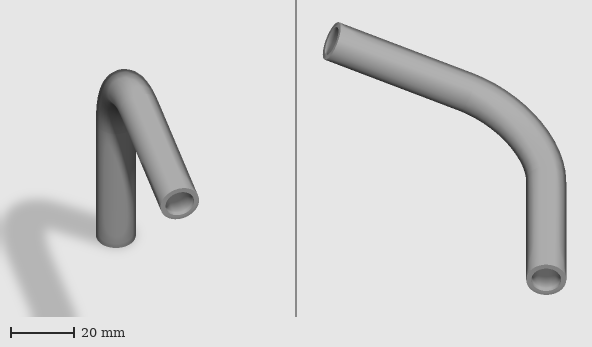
import cadquery as cq
import math

overall_size = 82.55
outer_diameter = 12.7
bore_diameter = 9.4
bend_radius = 28.6

leg_length = overall_size - outer_diameter / 2 - bend_radius


def centreline():
    """Vertical leg, quarter bend and horizontal leg, rising from the origin."""
    bend_top = leg_length + bend_radius
    mid_run = bend_radius * (1 - math.cos(math.pi / 4))
    mid_rise = leg_length + bend_radius * math.sin(math.pi / 4)
    return (
        cq.Workplane("XZ")
        .lineTo(0, leg_length)
        .threePointArc((mid_run, mid_rise), (bend_radius, bend_top))
        .lineTo(bend_radius + leg_length, bend_top)
    )


result = (
    cq.Workplane("XY")
    .circle(outer_diameter / 2)
    .circle(bore_diameter / 2)
    .sweep(centreline())
)